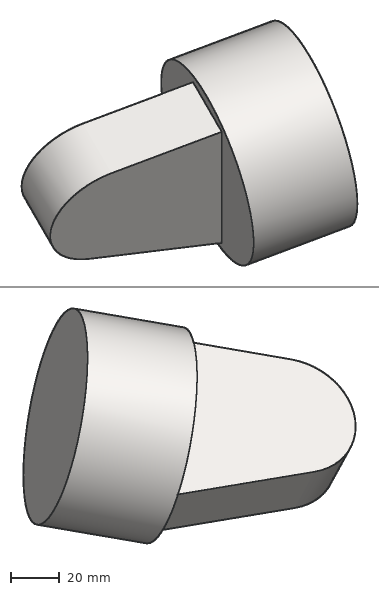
import cadquery as cq
import math

overall_length = 124.5
base_diameter = 90.0
base_thickness = 46.9
grip_width = 27.9
grip_half_height = 38.5
nose_radius = 27.8

grip_length = overall_length - base_thickness

nose_y = -(grip_length - nose_radius)
nose_z = grip_half_height - nose_radius

rise_to_nose = nose_z + grip_half_height
distance_to_nose = math.hypot(nose_y, rise_to_nose)
slope_angle = math.atan2(rise_to_nose, -nose_y) - math.asin(nose_radius / distance_to_nose)
tangent_point = (
    nose_y - nose_radius * math.sin(slope_angle),
    nose_z - nose_radius * math.cos(slope_angle),
)


def make_base():
    """Round base along Y, with its front face at Y = 0."""
    return cq.Workplane("XZ").circle(base_diameter / 2).extrude(-base_thickness)


def make_grip():
    """Flat grip projecting toward -Y, centred on X = 0."""
    return (
        cq.Workplane("YZ")
        .moveTo(0, -grip_half_height)
        .lineTo(0, grip_half_height)
        .lineTo(nose_y, grip_half_height)
        .threePointArc((-grip_length, nose_z), tangent_point)
        .close()
        .extrude(grip_width / 2, both=True)
    )


result = make_base().union(make_grip())